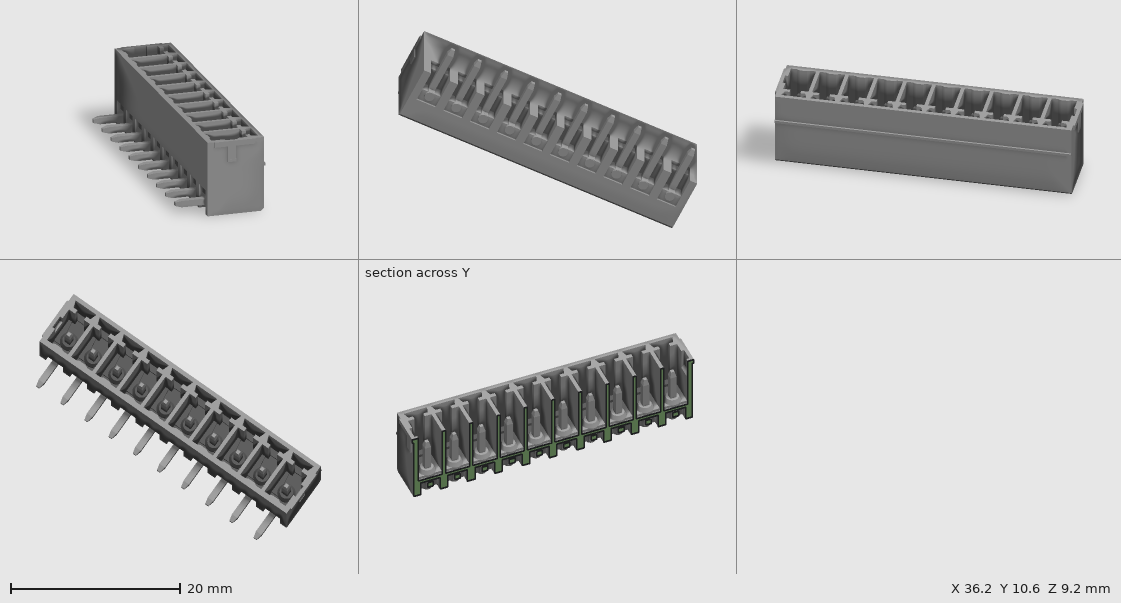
import cadquery as cq


pin_count = 10
pin_row_span = 31.5
pitch = pin_row_span / (pin_count - 1)
body_length = 35.8
body_depth = 7.0
body_height = 9.2
back_edge_chamfer = 0.35
rib_projection = 0.2
rib_bottom = 5.6
rib_height = 0.33

cavity_half_width = 1.52
cavity_front = 0.65
cavity_back = 5.15
bulge_half_width = 0.8
bulge_flat_half_width = 0.45
bulge_height = 0.18
neck_half_width = 0.65
latch_front = 5.65
latch_back = 6.4
latch_front_half_width = 1.23
latch_back_half_width = 1.5
lead_in_width = 0.07
lead_in_depth = 0.6

low_floor = 2.35
platform_top = 2.7
platform_front = 2.1
channel_back_half_width = 1.1
channel_front_half_width = 0.75

pin_y = 3.0
pin_size = 0.8
pin_tip_size = 0.45
pin_tip_length = 0.75
pin_top = 7.25
tail_z = 1.23
tail_reach = 3.4
collar_base_radius = 1.1
collar_top_radius = 0.8
collar_height = 0.55
foot_radius = 0.58
foot_height = 0.3
heel_front = pin_y - foot_radius
heel_chamfer = 0.1

recess_half_width = 1.23
recess_height = 3.0
recess_depth = 0.45
deep_recess_roof_front = 1.92
deep_recess_roof_back = 1.8
deep_recess_back = 2.57
undercut_back = 4.0

tee_projection = 0.18
tee_front = 0.75
tee_back = 5.9
tee_bar_height = 0.65
stem_front = 2.4
stem_back = 3.48
stem_height = 2.5
nub_projection = 0.2
nub_top_depth = 2.28
nub_height = 0.33
groove_front = 2.28
groove_back = 3.85
groove_width = 0.35
groove_depth = 2.25
groove_slope_drop = 0.45
flat_groove_depth = stem_height

body_end = body_length / 2
outer_cavity_wall = pin_row_span / 2 + cavity_half_width
pin_places = [(i * pitch - pin_row_span / 2, 0) for i in range(pin_count)]


def block(x_range, y_range, z_range):
    """Box between the given limits along each axis."""
    size = [high - low for low, high in (x_range, y_range, z_range)]
    corner = (x_range[0], y_range[0], z_range[0])
    return cq.Workplane("XY").box(*size, centered=False).translate(corner)


def at_every_pin(shape):
    """Copies of a shape, one at each pin position."""
    return cq.Workplane("XY").pushPoints(pin_places).eachpoint(lambda place: shape.val().moved(place))


def mirrored_outline(right_side):
    """Closed outline from its +X half, listed from front to back."""
    left_side = [(-x, y) for x, y in reversed(right_side)]
    return right_side + left_side


def make_housing():
    housing = block((-body_end, body_end), (0, body_depth), (0, body_height))
    housing = housing.edges(">Y and <Z").chamfer(back_edge_chamfer)
    rib = block(
        (-body_end, body_end),
        (body_depth - back_edge_chamfer, body_depth + rib_projection),
        (rib_bottom, rib_bottom + rib_height),
    )
    return housing.union(rib)


def make_cavity():
    """Space cut for one pin: wide pocket, neck and latch slot, less its raised floor areas."""
    outline = mirrored_outline([
        (bulge_flat_half_width, cavity_front + bulge_height),
        (bulge_half_width, cavity_front),
        (cavity_half_width, cavity_front),
        (cavity_half_width, cavity_back),
        (neck_half_width, cavity_back),
        (neck_half_width, latch_front),
        (latch_front_half_width, latch_front),
        (latch_back_half_width, latch_back),
    ])
    depth = body_height - low_floor
    space = cq.Workplane("XY").workplane(offset=low_floor).polyline(outline).close().extrude(depth)

    latch_step = block(
        (-cavity_half_width, cavity_half_width),
        (latch_front, latch_back),
        (low_floor, platform_top),
    )
    platform = block(
        (-cavity_half_width, cavity_half_width),
        (platform_front, cavity_back),
        (low_floor, platform_top),
    )
    channel_outline = mirrored_outline([
        (channel_front_half_width, pin_y),
        (channel_back_half_width, cavity_back),
    ])
    channel = cq.Workplane("XY").workplane(offset=low_floor).polyline(channel_outline).close()
    platform = platform.cut(channel.extrude(platform_top - low_floor))

    lead_in = (
        cq.Workplane("YZ")
        .moveTo(latch_back, body_height - lead_in_depth)
        .lineTo(latch_back, body_height)
        .lineTo(latch_back + lead_in_width, body_height)
        .close()
        .extrude(latch_back_half_width, both=True)
    )
    return space.cut(platform).cut(latch_step).union(lead_in)


def make_recess():
    """Stepped opening under the front face where one pin tail leaves the housing."""
    return (
        cq.Workplane("YZ")
        .polyline([
            (0, 0),
            (0, recess_height),
            (recess_depth, recess_height),
            (recess_depth, deep_recess_roof_front),
            (deep_recess_back, deep_recess_roof_back),
            (deep_recess_back, foot_height),
            (undercut_back, foot_height),
            (undercut_back, 0),
        ])
        .close()
        .extrude(recess_half_width, both=True)
    )


def tapered_bar(plane, straight_length):
    """Square bar along the plane's normal, ending in a blunt pyramid tip."""
    bar = cq.Workplane(plane).rect(pin_size, pin_size).extrude(straight_length)
    tip = (
        cq.Workplane(plane)
        .workplane(offset=straight_length)
        .rect(pin_size, pin_size)
        .workplane(offset=pin_tip_length)
        .rect(pin_tip_size, pin_tip_size)
        .loft(combine=True)
    )
    return bar.union(tip)


def make_pin():
    """Right-angle pin with its floor collar, the heel under the bend and the round foot below it."""
    leg_length = pin_top - pin_tip_length - foot_height
    leg = tapered_bar("XY", leg_length).translate((0, pin_y, foot_height))
    tail = tapered_bar("XZ", pin_y + tail_reach - pin_tip_length).translate((0, pin_y, tail_z))
    heel = block((-pin_size / 2, pin_size / 2), (heel_front, pin_y), (foot_height, tail_z))
    heel = heel.edges("<Y and <Z").chamfer(heel_chamfer)
    foot = cq.Workplane("XY").center(0, pin_y).circle(foot_radius).extrude(foot_height)
    collar_base = cq.Workplane("XY", origin=(0, pin_y, low_floor)).circle(collar_base_radius)
    collar = (
        collar_base.extrude(platform_top - low_floor)
        .faces(">Z")
        .workplane()
        .circle(collar_base_radius)
        .workplane(offset=collar_height)
        .circle(collar_top_radius)
        .loft(combine=True)
    )
    return leg.union(tail).union(heel).union(foot).union(collar)


def make_end_tees():
    """T-shaped pads on both end faces, as full-length bars through the housing, plus the +X nub."""
    reach = body_end + tee_projection
    bar = block((-reach, reach), (tee_front, tee_back), (body_height - tee_bar_height, body_height))
    stem = block((-reach, reach), (stem_front, stem_back), (body_height - stem_height, body_height))
    nub_top = body_height - nub_top_depth
    nub = block(
        (body_end, body_end + nub_projection),
        (stem_front, stem_back),
        (nub_top - nub_height, nub_top),
    )
    return bar.union(stem).union(nub)


def make_key_grooves():
    """Grooves in the inner end walls: flat-bottomed at -X, sloping into the cavity at +X."""
    flat = block(
        (-outer_cavity_wall - groove_width, -outer_cavity_wall),
        (groove_front, groove_back),
        (body_height - flat_groove_depth, body_height),
    )
    groove_end = body_height - groove_depth
    sloped = (
        cq.Workplane("XZ", origin=(0, groove_back, 0))
        .polyline([
            (outer_cavity_wall, body_height),
            (outer_cavity_wall, groove_end - groove_slope_drop),
            (outer_cavity_wall + groove_width, groove_end),
            (outer_cavity_wall + groove_width, body_height),
        ])
        .close()
        .extrude(groove_back - groove_front)
    )
    return flat.union(sloped)


result = (
    make_housing()
    .union(make_end_tees())
    .cut(make_key_grooves())
    .cut(at_every_pin(make_cavity()))
    .cut(at_every_pin(make_recess()))
    .union(at_every_pin(make_pin()))
)